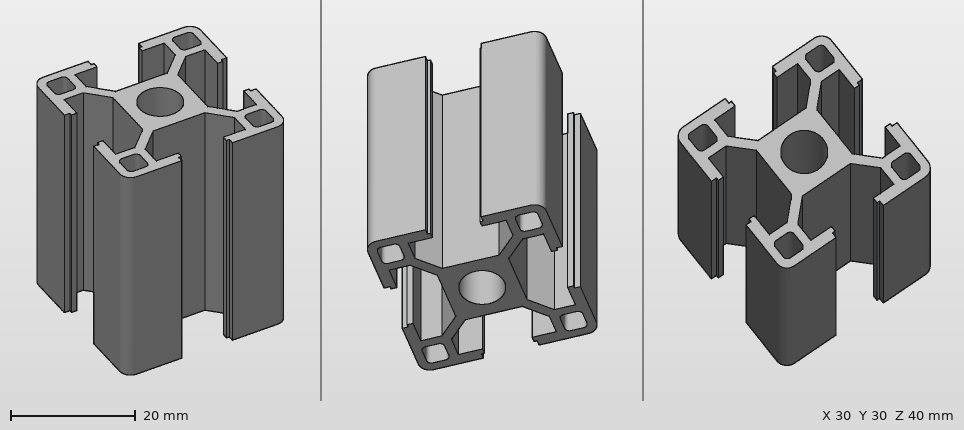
import cadquery as cq
import math

width = 30.0
length = 40.0
outer_radius = 2.0

mouth_width = 9.35
throat_width = 8.3
mouth_depth = 1.0
lip_thickness = 2.0

block_size = 6.75
pocket_size = 3.75
pocket_radius = 0.8
wall = (block_size - pocket_size) / 2

core_width = 12.0
bore_diameter = 7.5
web_thickness = 1.7

web_offset = web_thickness / math.sqrt(2)


def make_body():
    """Solid square bar with rounded long edges."""
    return cq.Workplane("XY").rect(width, width).extrude(length).edges("|Z").fillet(outer_radius)


def make_slot():
    """Cutter for the slot that opens toward +Y."""
    face = width / 2
    step = face - mouth_depth
    lip_back = face - lip_thickness
    chamber_side = face - block_size
    core_face = core_width / 2
    right_half = [
        (mouth_width / 2, face),
        (mouth_width / 2, step),
        (throat_width / 2, step),
        (throat_width / 2, lip_back),
        (chamber_side, lip_back),
        (chamber_side, chamber_side + web_offset),
        (core_face - web_offset, core_face),
    ]
    left_half = [(-x, y) for x, y in reversed(right_half)]
    return cq.Workplane("XY").polyline(right_half + left_half).close().extrude(length)


def make_pockets():
    """Cutters for the rounded square hollows in the four corner blocks."""
    spacing = width - 2 * wall - pocket_size
    return (
        cq.Workplane("XY")
        .rect(spacing, spacing, forConstruction=True)
        .vertices()
        .rect(pocket_size, pocket_size)
        .extrude(length)
        .edges("|Z")
        .fillet(pocket_radius)
    )


result = make_body()
slot = make_slot()
for angle in (0, 90, 180, 270):
    result = result.cut(slot.rotate((0, 0, 0), (0, 0, 1), angle))
result = result.cut(make_pockets())
result = result.faces(">Z").workplane(origin=(0, 0, length)).hole(bore_diameter)